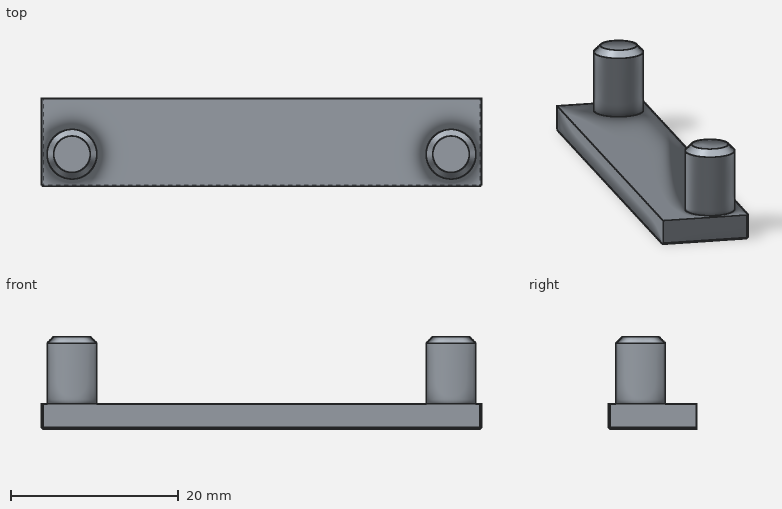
import cadquery as cq

plate_length = 52.5
plate_width = 10.5
plate_thickness = 3.0
edge_chamfer = 0.2

pin_diameter = 5.95
pin_height = 8.05
pin_chamfer = 0.8
pin_spacing = 45.2
pin_front_inset = 3.85
pin_y = pin_front_inset - plate_width / 2


def make_plate():
    """Flat bar with chamfered front corners and bottom edges; the rear and top edges stay sharp."""
    plate = cq.Workplane("XY").box(
        plate_length, plate_width, plate_thickness, centered=(True, True, False)
    )
    plate = plate.edges("|Z and <Y").chamfer(edge_chamfer)
    return plate.faces("<Z").edges("not >Y").chamfer(edge_chamfer)


def make_pin(x):
    """Upright pin on the plate's top face, with a chamfered tip."""
    pin = cq.Workplane("XY").circle(pin_diameter / 2).extrude(pin_height)
    pin = pin.faces(">Z").edges().chamfer(pin_chamfer)
    return pin.translate((x, pin_y, plate_thickness))


result = make_plate()
for side in (-1, 1):
    result = result.union(make_pin(side * pin_spacing / 2))